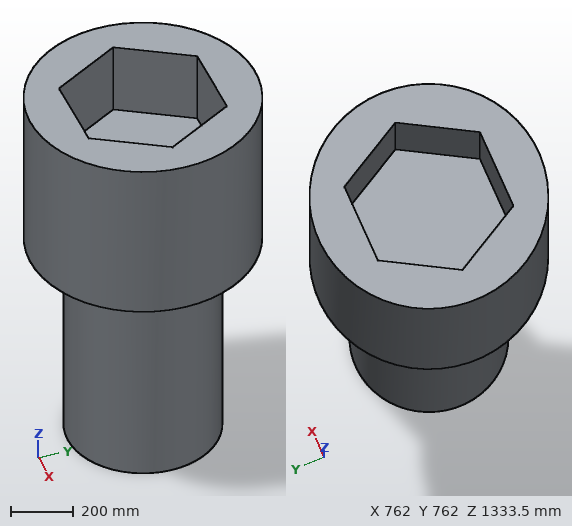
import cadquery as cq
import math

head_diameter = 762.0
shank_diameter = 508.0
total_height = 1333.5
shank_length = 762.0
socket_across_flats = 469.9
socket_depth = 254.0
socket_sides = 6

head_height = total_height - shank_length
socket_across_corners = socket_across_flats / math.cos(math.pi / socket_sides)


def make_shank():
    """Plain cylindrical shank standing on the XY plane."""
    return cq.Workplane("XY").circle(shank_diameter / 2).extrude(shank_length)


def make_head():
    """Cylindrical head on top of the shank."""
    return (
        cq.Workplane("XY")
        .workplane(offset=shank_length)
        .circle(head_diameter / 2)
        .extrude(head_height)
    )


def make_socket():
    """Blind hexagonal socket sunk from the top face, with two corners on the X axis."""
    return (
        cq.Workplane("XY")
        .workplane(offset=total_height)
        .polygon(socket_sides, socket_across_corners)
        .extrude(-socket_depth)
    )


result = make_shank().union(make_head()).cut(make_socket())